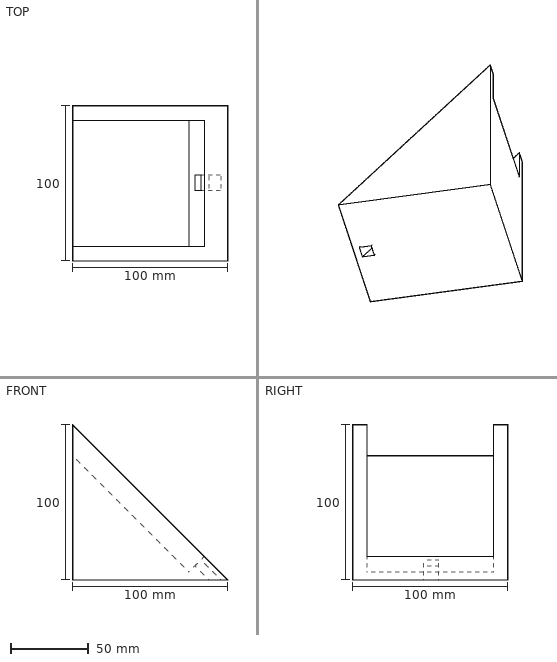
import cadquery as cq

size = 100.0
side_wall = 9.4
recess_drop = 20.0
recess_end_x = 74.8

slot_start_x = 78.7
slot_end_x = 82.6
slot_width = 9.8
slot_center_y = 50.4


def prism(points, y_start, width):
    """Extrude an XZ outline along +Y from y_start."""
    plane = cq.Workplane("XZ", origin=(0, y_start, 0))
    return plane.polyline(points).close().extrude(-width)


wedge = prism([(0, 0), (size, 0), (0, size)], 0, size)

floor_height = size - recess_drop
floor_end_z = floor_height - recess_end_x
end_wall_run = recess_drop / 2
recess = prism(
    [
        (0, floor_height),
        (recess_end_x, floor_end_z),
        (recess_end_x + end_wall_run, floor_end_z + end_wall_run),
        (0, size),
    ],
    side_wall,
    size - 2 * side_wall,
)


def end_wall_z(x):
    """Height of the 45-degree end wall at a given X."""
    return floor_end_z + x - recess_end_x


slot_start_z = end_wall_z(slot_start_x)
slot_end_z = end_wall_z(slot_end_x)
slot = prism(
    [
        (slot_start_x, slot_start_z),
        (slot_start_x + slot_start_z, 0),
        (slot_end_x + slot_end_z, 0),
        (slot_end_x, slot_end_z),
    ],
    slot_center_y - slot_width / 2,
    slot_width,
)

result = wedge.cut(recess).cut(slot)